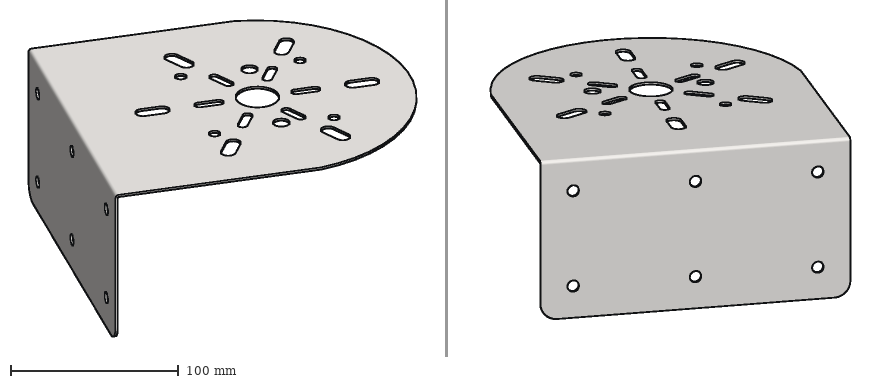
import cadquery as cq
import math

thickness = 1.6
width = 190.0
depth = 210.0
height = 100.0
inner_bend_radius = 0.6
outer_bend_radius = inner_bend_radius + thickness

end_radius = 95.95
end_centre_y = depth - end_radius
side_end_y = end_centre_y + math.sqrt(end_radius**2 - (width / 2) ** 2)

pattern_centre_y = 115.0
centre_hole_diameter = 26.0
corner_hole_diameter = 7.0
corner_hole_offset = 37.0
side_hole_diameter = 10.0
side_hole_distance = 35.0
side_hole_offset_y = 5.0
side_hole_offset_x = math.sqrt(side_hole_distance**2 - side_hole_offset_y**2)

slot_count = 6
first_slot_angle = 30.0
inner_slot_distance = 30.0
inner_slot_length = 18.0
inner_slot_width = 6.0
outer_slot_distance = 65.0
outer_slot_length = 21.0
outer_slot_width = 9.0

flange_corner_radius = 10.0
flange_hole_diameter = 7.0
flange_hole_pitch_x = 75.0
flange_hole_columns = (-flange_hole_pitch_x, 0.0, flange_hole_pitch_x)
flange_hole_depths = (20.0, 80.0)


def make_plate():
    """Horizontal plate, top face at Z = 0, starting at the fold line Y = 0."""
    return (
        cq.Workplane("XY", origin=(0, 0, -thickness))
        .moveTo(-width / 2, 0)
        .lineTo(width / 2, 0)
        .lineTo(width / 2, side_end_y)
        .threePointArc((0, depth), (-width / 2, side_end_y))
        .close()
        .extrude(thickness)
    )


def make_flange():
    """Vertical flange hanging from the plate, outer face at Y = 0."""
    return (
        cq.Workplane("XY")
        .box(width, thickness, height, centered=(True, False, False))
        .translate((0, 0, -height))
        .edges("|Y and <Z")
        .fillet(flange_corner_radius)
    )


def round_bend(bracket):
    """Round the inside and outside of the fold."""
    inside = cq.selectors.NearestToPointSelector((0, thickness, -thickness))
    outside = cq.selectors.NearestToPointSelector((0, 0, 0))
    bracket = bracket.edges("|X").edges(inside).fillet(inner_bend_radius)
    return bracket.edges("|X").edges(outside).fillet(outer_bend_radius)


def plate_cutter():
    """Work plane on the top face of the plate, at the centre of the hole pattern."""
    return cq.Workplane("XY", origin=(0, pattern_centre_y, 0))


def cut_round_holes(bracket, points, diameter):
    holes = plate_cutter().pushPoints(points).circle(diameter / 2).extrude(-thickness)
    return bracket.cut(holes)


def cut_plate_holes(bracket):
    corner_points = [(x * corner_hole_offset, y * corner_hole_offset) for x in (-1, 1) for y in (-1, 1)]
    side_points = [(side * side_hole_offset_x, side_hole_offset_y) for side in (-1, 1)]
    bracket = cut_round_holes(bracket, [(0, 0)], centre_hole_diameter)
    bracket = cut_round_holes(bracket, corner_points, corner_hole_diameter)
    return cut_round_holes(bracket, side_points, side_hole_diameter)


def cut_radial_slots(bracket, distance, length, slot_width):
    slots = (
        plate_cutter()
        .polarArray(distance, first_slot_angle, 360, slot_count)
        .slot2D(length, slot_width)
        .extrude(-thickness)
    )
    return bracket.cut(slots)


def cut_flange_holes(bracket):
    points = [(x, -z) for x in flange_hole_columns for z in flange_hole_depths]
    holes = cq.Workplane("XZ").pushPoints(points).circle(flange_hole_diameter / 2).extrude(-thickness)
    return bracket.cut(holes)


bracket = round_bend(make_plate().union(make_flange()))
bracket = cut_plate_holes(bracket)
bracket = cut_radial_slots(bracket, inner_slot_distance, inner_slot_length, inner_slot_width)
bracket = cut_radial_slots(bracket, outer_slot_distance, outer_slot_length, outer_slot_width)
result = cut_flange_holes(bracket)